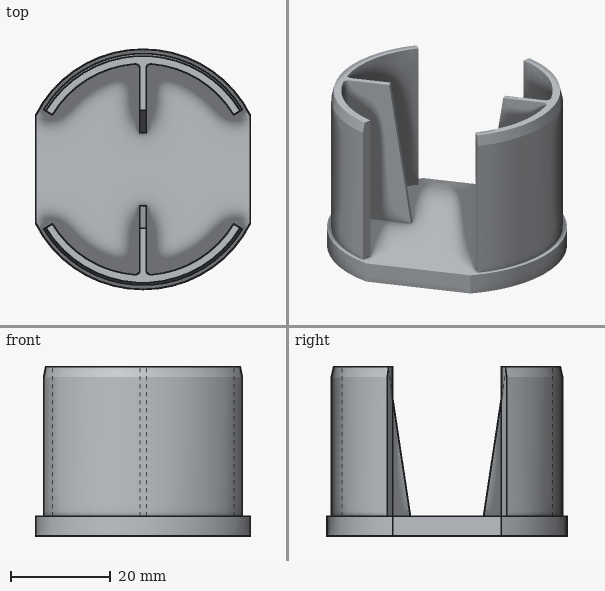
import cadquery as cq
import math

base_radius = 24.05
base_width = 43.0
base_thickness = 4.0

total_height = 34.0
wall_height = total_height - base_thickness
wall_outer_radius = 23.2
wall_thickness = 2.0
wall_inner_radius = wall_outer_radius - wall_thickness
wall_end_angle = 31.0
lead_in_height = 2.1
lead_in_depth = 0.5

rib_thickness = 1.2
rib_foot_y = 7.3
rib_top_y = 11.85
rib_fillet_radius = 1.0


def make_base():
    disc = cq.Workplane("XY").circle(base_radius).extrude(base_thickness)
    flats = cq.Workplane("XY").rect(base_width, 2 * base_radius).extrude(base_thickness)
    return disc.intersect(flats)


def make_wall():
    """Wall segment on the +Y side, tapered outside at its top."""
    ring = (
        cq.Workplane("XY", origin=(0, 0, base_thickness))
        .circle(wall_outer_radius)
        .extrude(wall_height)
        .faces(">Z")
        .chamfer(lead_in_height, lead_in_depth)
    )
    bore = (
        cq.Workplane("XY", origin=(0, 0, base_thickness))
        .circle(wall_inner_radius)
        .extrude(wall_height)
    )
    sector_y = 2 * base_radius
    sector_x = sector_y / math.tan(math.radians(wall_end_angle))
    sector = (
        cq.Workplane("XY", origin=(0, 0, base_thickness))
        .polyline([(0, 0), (sector_x, sector_y), (-sector_x, sector_y)])
        .close()
        .extrude(wall_height)
    )
    return ring.cut(bore).intersect(sector)


def make_rib():
    """Rib on the +Y side, reaching halfway into the wall."""
    rib_root_y = wall_inner_radius + wall_thickness / 2
    return (
        cq.Workplane("YZ")
        .polyline([
            (rib_foot_y, base_thickness),
            (rib_root_y, base_thickness),
            (rib_root_y, total_height),
            (rib_top_y, total_height),
        ])
        .close()
        .extrude(rib_thickness / 2, both=True)
    )


def make_ribbed_wall():
    """Wall and rib joined, with the two inside corners rounded."""
    corner_x = rib_thickness / 2
    corner_y = math.sqrt(wall_inner_radius**2 - corner_x**2)
    middle_z = base_thickness + wall_height / 2
    joined = make_wall().union(make_rib())
    for side in (-1, 1):
        corner = cq.selectors.NearestToPointSelector((side * corner_x, corner_y, middle_z))
        joined = joined.edges("|Z").edges(corner).fillet(rib_fillet_radius)
    return joined


ribbed_wall = make_ribbed_wall()
result = make_base().union(ribbed_wall).union(ribbed_wall.mirror("XZ"))